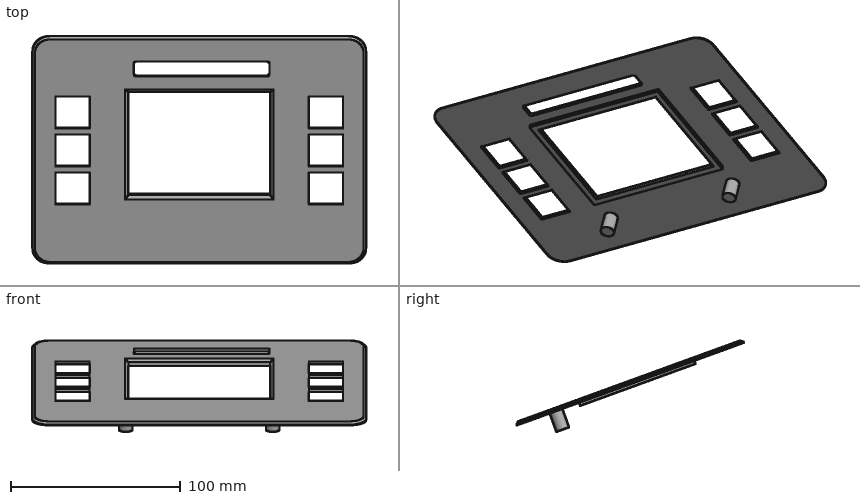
import cadquery as cq

plate_width = 197.0
plate_length = 142.6
plate_thickness = 2.0
corner_radius = 10.0
edge_inset = 1.5
edge_land = 0.5
tilt_angle = 20.0

window_width = 83.5
window_length = 64.6
window_center_y = 4.0
window_bevel = 2.2
window_bevel_depth = 1.48
frame_border = 4.0
frame_depth = 2.0

slot_width = 80.0
slot_length = 9.3
slot_corner_radius = 1.48
slot_center_x = 1.4
slot_center_y = 51.2

button_size = 20.0
button_pitch = 23.8
button_column_x = 74.7
buttons_per_column = 3

pin_diameter = 8.0
pin_length = 11.6
pin_x = 43.3
pin_y = -46.7


def make_plate():
    """Rounded plate whose upper edge slopes inward toward the top."""
    blank = (
        cq.Workplane("XY")
        .rect(plate_width, plate_length)
        .extrude(plate_thickness)
        .edges("|Z")
        .fillet(corner_radius)
    )
    return blank.faces(">Z").chamfer(plate_thickness - edge_land, edge_inset)


def make_frame():
    """Rectangular pad that thickens the plate around the window."""
    return (
        cq.Workplane("XY")
        .center(0, window_center_y)
        .rect(window_width + 2 * frame_border, window_length + 2 * frame_border)
        .extrude(-frame_depth)
    )


def make_window_cutter():
    """Straight opening that flares out toward the top of the plate."""
    bevel_start = plate_thickness - window_bevel_depth
    opening = (
        cq.Workplane("XY", origin=(0, window_center_y, -frame_depth))
        .rect(window_width, window_length)
        .extrude(frame_depth + bevel_start)
    )
    flare = (
        cq.Workplane("XY", origin=(0, window_center_y, bevel_start))
        .rect(window_width, window_length)
        .workplane(offset=window_bevel_depth)
        .rect(window_width + 2 * window_bevel, window_length + 2 * window_bevel)
        .loft(ruled=True)
    )
    return opening.union(flare)


def make_slot_cutter():
    return (
        cq.Workplane("XY")
        .center(slot_center_x, slot_center_y)
        .rect(slot_width, slot_length)
        .extrude(plate_thickness)
        .edges("|Z")
        .fillet(slot_corner_radius)
    )


def make_button_cutter():
    middle = (buttons_per_column - 1) / 2
    centers = [
        (x, (row - middle) * button_pitch)
        for x in (-button_column_x, button_column_x)
        for row in range(buttons_per_column)
    ]
    return (
        cq.Workplane("XY")
        .pushPoints(centers)
        .rect(button_size, button_size)
        .extrude(plate_thickness)
    )


def make_pins():
    return (
        cq.Workplane("XY")
        .pushPoints([(-pin_x, pin_y), (pin_x, pin_y)])
        .circle(pin_diameter / 2)
        .extrude(-pin_length)
    )


flat_bezel = (
    make_plate()
    .union(make_frame())
    .union(make_pins())
    .cut(make_window_cutter())
    .cut(make_slot_cutter())
    .cut(make_button_cutter())
)

result = flat_bezel.rotate((0, 0, 0), (1, 0, 0), tilt_angle)